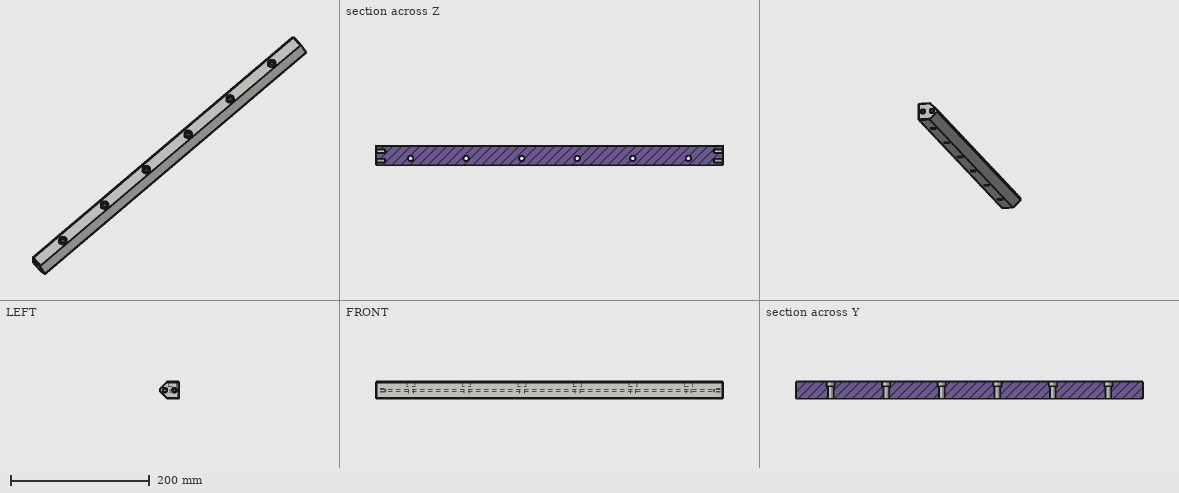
import cadquery as cq
import math

length = 500.0
depth = 28.0
height = 25.0

nose_depth = 11.0
nose_flat = 3.0
edge_chamfer = 1.5

screw_count = 6
screw_pitch = 80.0
screw_from_back = 10.0
screw_bore = 7.5
counterbore_diameter = 11.5
counterbore_depth = 7.0

end_hole_places = (7.0, 20.5)
end_hole_diameter = 5.0
end_hole_mouth = 7.0
end_hole_depth = 12.5
drill_point_angle = 118.0

half_length = length / 2
half_height = height / 2
back = -depth / 2
nose_tip = depth / 2


def make_rail():
    """Nosed prism, with the edges of its back, top and bottom faces chamfered and its nose left sharp."""
    shoulder = nose_tip - nose_depth
    outline = [
        (back, -half_height),
        (shoulder, -half_height),
        (nose_tip, -nose_flat / 2),
        (nose_tip, nose_flat / 2),
        (shoulder, half_height),
        (back, half_height),
    ]
    prism = cq.Workplane("YZ").polyline(outline).close().extrude(half_length, both=True)
    chamfered_bar = cq.Workplane("XY").box(length, depth, height).edges("not >Y").chamfer(edge_chamfer)
    return prism.intersect(chamfered_bar)


def screw_hole_cutter():
    """Stepped through hole, counterbored from the top face."""
    bore = cq.Workplane("XY", origin=(0, 0, -half_height)).circle(screw_bore / 2).extrude(height)
    seat = (
        cq.Workplane("XY", origin=(0, 0, half_height - counterbore_depth))
        .circle(counterbore_diameter / 2)
        .extrude(counterbore_depth)
    )
    return bore.union(seat)


def end_hole_cutter():
    """Blind hole running along +X from the left end face, with a countersunk mouth."""
    radius = end_hole_diameter / 2
    mouth_radius = end_hole_mouth / 2
    point_length = radius / math.tan(math.radians(drill_point_angle / 2))
    half_section = [
        (0, 0),
        (0, mouth_radius),
        (mouth_radius - radius, radius),
        (end_hole_depth, radius),
        (end_hole_depth + point_length, 0),
    ]
    cutter = cq.Workplane("XY").polyline(half_section).close().revolve(360, (0, 0, 0), (1, 0, 0))
    return cutter.translate((-half_length, 0, 0))


result = make_rail()

first_screw = -screw_pitch * (screw_count - 1) / 2
for index in range(screw_count):
    screw_place = (first_screw + index * screw_pitch, back + screw_from_back, 0)
    result = result.cut(screw_hole_cutter().translate(screw_place))

for place in end_hole_places:
    left_cutter = end_hole_cutter().translate((0, back + place, 0))
    result = result.cut(left_cutter)
    result = result.cut(left_cutter.mirror("YZ"))